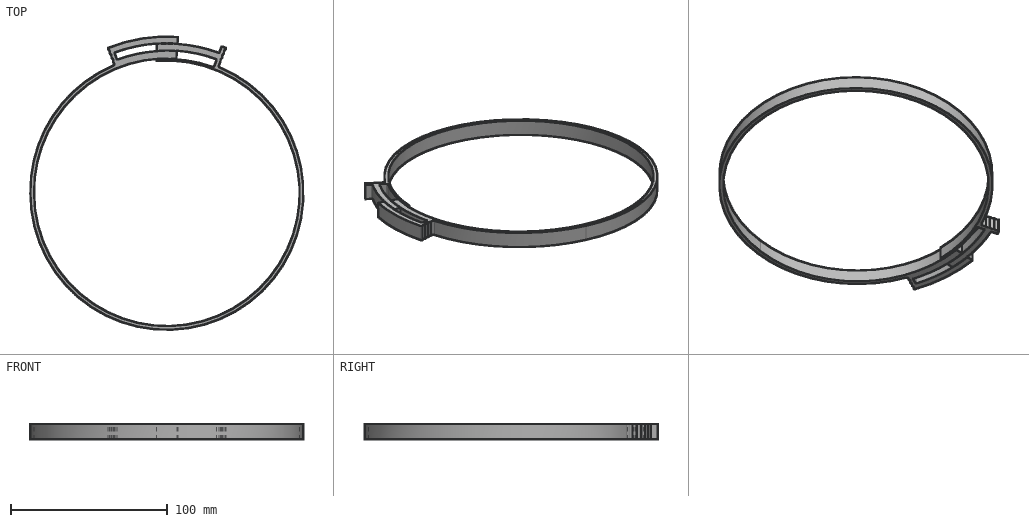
import cadquery as cq
import math


height = 10.0
ring_outer = 87.1
ring_thickness = 2.53
ring_inner = ring_outer - ring_thickness

overall_length = 187.1
hook_outer = overall_length - ring_outer
clearance = 0.1
layer_thickness = 4.5
bar_outer = hook_outer - layer_thickness
bar_inner = bar_outer - layer_thickness
hook_inner = bar_outer + clearance
arm_outer = bar_inner - clearance
tongue_thickness = 1.1
tongue_outer = ring_inner + tongue_thickness
arm_lift = tongue_thickness + 2 * clearance

post_outer_angle = 22.2
post_inner_angle = 20.4
hook_end_angle = 4.1
bar_end_x = -6.5

grip_count = 3
grip_pitch = 3.0
grip_width = 2.6
grip_depth = 0.4
grip_first_radius = 91.9

root_fillet = 1.0
corner_fillet = 0.5
pocket_fillet = 1.0


def polar(radius, angle):
    """Point at a radius and at an angle from +Y."""
    turn = math.radians(angle)
    return (-radius * math.sin(turn), radius * math.cos(turn))


def sector(inner, outer, start, end):
    """Curved slab between two radii and two angles."""
    middle = (start + end) / 2
    return (
        cq.Workplane("XY")
        .moveTo(*polar(inner, start))
        .threePointArc(polar(inner, middle), polar(inner, end))
        .lineTo(*polar(outer, end))
        .threePointArc(polar(outer, middle), polar(outer, start))
        .close()
        .extrude(height)
    )


def raised_disc(radius):
    """Disc lifted towards +Y whose rim still crosses the X axis at the given radius."""
    return cq.Workplane("XY").center(0, arm_lift).circle(math.hypot(radius, arm_lift)).extrude(height)


def grips(side):
    """Cutters for the scallops along a post; side is +1 for the -X post, -1 for the +X post."""
    half_width = grip_width / 2
    scallop_radius = (half_width**2 + grip_depth**2) / (2 * grip_depth)
    standoff = scallop_radius - grip_depth
    cutters = cq.Workplane("XY")
    for index in range(grip_count):
        along = grip_first_radius + index * grip_pitch
        radius = math.hypot(along, standoff)
        angle = post_outer_angle + math.degrees(math.atan2(standoff, along))
        cutter = cq.Workplane("XY").center(*polar(radius, side * angle)).circle(scallop_radius)
        cutters = cutters.add(cutter.extrude(height))
    return cutters.combine()


def round_edge(body, radius, angle, fillet):
    """Fillet the upright edge nearest to a polar position."""
    x, y = polar(radius, angle)
    return body.edges("|Z").edges(cq.selectors.NearestToPointSelector((x, y, height / 2))).fillet(fillet)


def make_hook_end():
    """-X end: raised quarter of the band, post, hook and the arm below it."""
    wedge = sector(ring_inner - ring_thickness, hook_outer, post_inner_angle, 90)
    quarter = raised_disc(ring_outer).intersect(wedge)
    post = sector(ring_inner, hook_outer, post_inner_angle, post_outer_angle)
    hook = sector(hook_inner, hook_outer, -hook_end_angle, post_outer_angle)
    arm = sector(ring_inner, arm_outer, -hook_end_angle, post_outer_angle)
    body = post.union(hook).union(arm).union(quarter).cut(raised_disc(ring_inner))
    body = round_edge(body, ring_outer + arm_lift, post_outer_angle, root_fillet)
    body = round_edge(body, hook_outer, post_outer_angle, corner_fillet)
    body = round_edge(body, hook_inner, post_inner_angle, corner_fillet)
    body = round_edge(body, ring_inner + arm_lift, -hook_end_angle, corner_fillet)
    return body.cut(grips(1))


def make_bar_end():
    """+X end: the rest of the band, post, bar and the thin tongue closing the bore."""
    band = sector(ring_inner, ring_outer, 90, 360 - post_inner_angle)
    post = sector(ring_inner, hook_outer, -post_outer_angle, -post_inner_angle)
    bar = sector(bar_inner, bar_outer, -post_outer_angle, post_outer_angle)
    tongue = sector(ring_inner, tongue_outer, -post_outer_angle, post_outer_angle)
    beyond_end = cq.Workplane("XY").box(hook_outer, hook_outer, height, centered=False)
    beyond_end = beyond_end.translate((bar_end_x - hook_outer, 0, 0))
    body = post.union(bar).union(tongue).cut(beyond_end).union(band)
    body = round_edge(body, ring_outer, -post_outer_angle, root_fillet)
    body = round_edge(body, hook_outer, -post_outer_angle, corner_fillet)
    body = round_edge(body, bar_outer, -post_inner_angle, corner_fillet)
    body = round_edge(body, bar_inner, -post_inner_angle, corner_fillet)
    body = round_edge(body, tongue_outer, -post_inner_angle, pocket_fillet)
    return body.cut(grips(-1))


result = make_hook_end().union(make_bar_end())